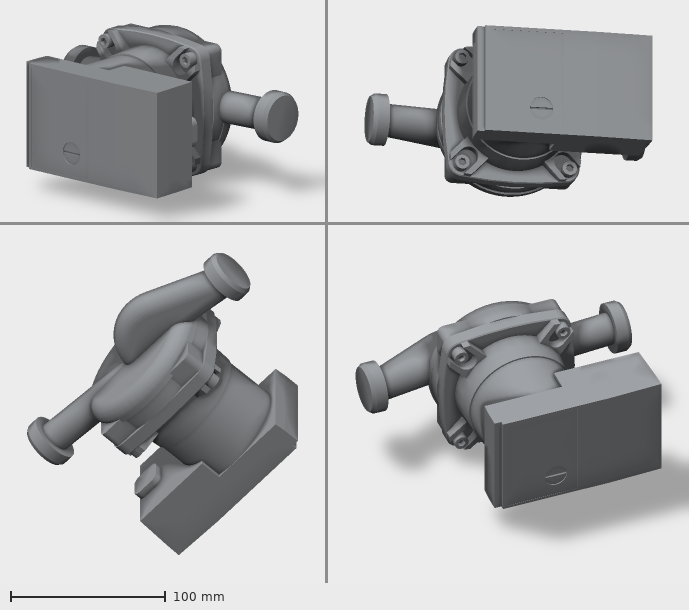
import cadquery as cq
import math


length = 180.0
collar_radius = 16.7
collar_length = 10.5
pipe_start_inset = 9.0
collar_chamfer_axial = 2.7
collar_chamfer_radial = 1.8
pipe_radius = 10.6
housing_back_y = -5.2
housing_front_y = -18.2
housing_block_half = 41.4
housing_corner_radius = 4.7
housing_radius = 46.6
volute_radius = 47.0
volute_center_z = -0.9
volute_back_y = 5.0
volute_front_y = -8.1
volute_round = 9.7
inlet_bend_radius = 32.4
inlet_bend_x = -24.3
inlet_bend_y = 0.5
inlet_edge_round = 10.5
inlet_root_x = -36.0
inlet_root_y = 6.5
bend_root_y = -4.3
outlet_root_x = 9.0
outlet_root_y = -5.2

flange_front_y = -27.4
flange_half = 45.7
flange_corner_start = 35.3
flange_corner_drop = 2.7
flange_chamfer = 0.7
bearing_root_radius = 37.6
bearing_end_radius = 36.0
bearing_end_y = -47.9
pad_start_reach = 34.2
pad_outer_y = -32.4
pad_inner_y = -34.4
pad_inner_reach = 36.2
pad_outer_reach = 52.4
pad_limit = 61.2
pad_half_width = 9.9
screw_slot_radius = 6.3
screw_slot_reach = 44.3

screw_reach = 50.0
screw_count = 4
screw_head_radius = 4.7
screw_head_height = 6.5
screw_shank_radius = 2.7
screw_shank_length = 16.2
socket_width = 4.7
socket_depth = 3.2

can_radius = 35.0
can_end_y = -84.0

box_half_height = 35.3
box_left_x = -39.2
step_x = 14.5
step_y = -69.1
box_right_x = 73.5
box_right_split_x = 74.9
split_left_y = -92.0
split_middle_y = -94.3
split_right_y = -94.0
gland_size = 20.3
gland_height = 5.0
gland_corner = 5.0

cover_left_x = -39.8
cover_right_x = 75.2
cover_front_y = -106.0
cover_slope_x = 39.5
cover_right_y = -104.8
cover_ledge_x = -35.1
cover_ledge_y = -103.1
panel_left_x = -33.1
panel_right_x = 16.7
panel_bottom_z = -33.5
panel_top_z = 33.0
panel_depth = 0.2

knob_x = 1.8
knob_z = -18.4
knob_radius = 7.5
knob_sink = 0.9
knob_thickness = 3.6
knob_slot_width = 1.5
knob_slot_depth = 1.5


def xz_plane(y, x=0, z=0):
    """Sketch plane facing -Y, so positive extrusion goes toward the motor."""
    return cq.Workplane("XZ", origin=(x, y, z))


def turned(body, index):
    """Place a body made along +X onto one of the four diagonal corners."""
    return body.rotate((0, 0, 0), (0, 1, 0), 45 + 90 * index)


def corner_middle(start, edge, tilt):
    """Middle coordinate of a corner arc leaving (start, edge), tilted from the side's direction."""
    half_chord = (edge - start) / math.sqrt(2)
    radius = half_chord / math.sin(math.pi / 4 - tilt)
    center = start - radius * math.sin(tilt)
    return center + radius / math.sqrt(2)


def quarter_turn(point):
    return (-point[1], point[0])


def flange_outline(sketch):
    """Square of four bulged sides with round corners."""
    edge = flange_half - flange_corner_drop
    tilt = 2 * math.atan(flange_corner_drop / flange_corner_start)
    middle = corner_middle(flange_corner_start, edge, tilt)
    points = [(edge, flange_corner_start), (middle, middle), (flange_corner_start, edge), (0, flange_half)]
    sketch = sketch.moveTo(edge, -flange_corner_start).threePointArc((flange_half, 0), points[0])
    for side in range(4):
        following = [quarter_turn(point) for point in points]
        sketch = sketch.threePointArc(points[1], points[2])
        if side < 3:
            sketch = sketch.threePointArc(points[3], following[0])
        points = following
    return sketch.close()


def make_pipe(start_x, root_x, root_y):
    """Straight pipe from a collar on the pipe axis to its root at the volute."""
    start = cq.Vector(start_x, 0, 0)
    direction = cq.Vector(root_x - start_x, root_y, 0)
    return cq.Workplane(cq.Solid.makeCylinder(pipe_radius, direction.Length, start, direction))


def make_collar(side):
    """Pipe end collar with a chamfered outer rim; side is -1 or +1."""
    outer = side * length / 2
    inner = outer - side * collar_length
    rim = outer - side * collar_chamfer_axial
    profile = cq.Workplane("XY").polyline([
        (inner, 0),
        (inner, collar_radius),
        (rim, collar_radius),
        (outer, collar_radius - collar_chamfer_radial),
        (outer, 0),
    ]).close()
    return profile.revolve(360, (0, 0, 0), (1, 0, 0))


def make_inlet():
    """Inlet pipe that deepens into a round bend behind the housing."""
    pipe_start_x = pipe_start_inset - length / 2
    dx = pipe_start_x - inlet_bend_x
    dy = pipe_radius - inlet_bend_y
    angle = math.atan2(dy, dx) - math.acos(inlet_bend_radius / math.hypot(dx, dy))
    middle_angle = angle / 2

    def on_bend(at):
        x = inlet_bend_x + inlet_bend_radius * math.cos(at)
        y = inlet_bend_y + inlet_bend_radius * math.sin(at)
        return (x, y)

    profile = (
        cq.Workplane("XY", origin=(0, 0, -pipe_radius))
        .moveTo(pipe_start_x, 0)
        .lineTo(pipe_start_x, pipe_radius)
        .lineTo(*on_bend(angle))
        .threePointArc(on_bend(middle_angle), on_bend(0))
        .lineTo(on_bend(0)[0], bend_root_y)
        .lineTo(inlet_root_x, bend_root_y)
        .lineTo(inlet_root_x, inlet_root_y)
        .close()
    )
    bend = profile.extrude(2 * pipe_radius)
    back_region = cq.selectors.BoxSelector(
        (pipe_start_x + pipe_start_inset, pipe_radius, -length),
        (length, length, length),
    )
    back_edges = bend.faces("<Z or >Z").edges(back_region)
    pipe = make_pipe(pipe_start_x, inlet_root_x, inlet_root_y)
    return back_edges.fillet(inlet_edge_round).union(pipe)


def make_housing():
    depth = housing_back_y - housing_front_y
    block = (
        xz_plane(housing_back_y)
        .rect(2 * housing_block_half, 2 * housing_block_half)
        .extrude(depth)
        .edges("|Y")
        .fillet(housing_corner_radius)
    )
    drum = xz_plane(housing_back_y).circle(housing_radius).extrude(depth)
    volute = (
        xz_plane(volute_back_y, z=volute_center_z)
        .circle(volute_radius)
        .extrude(volute_back_y - volute_front_y)
        .faces(">Y")
        .edges()
        .fillet(volute_round)
    )
    outlet = make_pipe(length / 2 - pipe_start_inset, outlet_root_x, outlet_root_y)
    housing = block.union(drum).union(volute).union(make_inlet()).union(outlet)
    return housing.union(make_collar(-1)).union(make_collar(1))


def make_pad():
    """Raised corner pad along +X, sloping down outward, with an open screw slot."""
    slope = (pad_outer_y - pad_inner_y) / (pad_outer_reach - pad_inner_reach)
    limit_y = pad_inner_y + slope * (pad_limit - pad_inner_reach)
    start_y = pad_inner_y + slope * (pad_start_reach - pad_inner_reach)
    pad = (
        cq.Workplane("XY")
        .polyline([
            (pad_start_reach, flange_front_y),
            (pad_start_reach, start_y),
            (pad_limit, limit_y),
            (pad_limit, flange_front_y),
        ])
        .close()
        .extrude(pad_half_width, both=True)
    )
    slot_height = flange_front_y - start_y
    slot_end = xz_plane(flange_front_y, x=screw_slot_reach).circle(screw_slot_radius).extrude(slot_height)
    slot_length = pad_limit - screw_slot_reach
    slot_run = (
        xz_plane(flange_front_y, x=screw_slot_reach + slot_length / 2)
        .rect(slot_length, 2 * screw_slot_radius)
        .extrude(slot_height)
    )
    return pad.cut(slot_end).cut(slot_run)


def make_flange():
    plate = (
        flange_outline(xz_plane(housing_front_y))
        .extrude(housing_front_y - flange_front_y)
        .faces("<Y")
        .edges()
        .chamfer(flange_chamfer)
    )
    pad_bound = (
        flange_outline(xz_plane(housing_front_y))
        .offset2D(-flange_chamfer)
        .extrude(housing_front_y - bearing_end_y)
    )
    bearing = (
        xz_plane(flange_front_y)
        .circle(bearing_root_radius)
        .workplane(offset=flange_front_y - bearing_end_y)
        .circle(bearing_end_radius)
        .loft()
    )
    flange = plate.union(bearing)
    for index in range(screw_count):
        flange = flange.union(turned(make_pad(), index).intersect(pad_bound))
    return flange


def make_shank():
    """Screw shank, also the shape of its hole through flange and housing."""
    return xz_plane(flange_front_y, x=screw_reach).circle(screw_shank_radius).extrude(-screw_shank_length)


def make_screw():
    """Socket-head screw on the +X side."""
    head = xz_plane(flange_front_y, x=screw_reach).circle(screw_head_radius).extrude(screw_head_height)
    socket_diameter = socket_width / math.cos(math.pi / 6)
    socket = (
        xz_plane(flange_front_y - screw_head_height, x=screw_reach)
        .polygon(6, socket_diameter)
        .extrude(-socket_depth)
    )
    return head.cut(socket).union(make_shank())


def make_can():
    return xz_plane(bearing_end_y).circle(can_radius).extrude(bearing_end_y - can_end_y)


def split_arc(sketch):
    """Draw the curved joint of box and cover from its right end to its left end."""
    middle_x = (box_right_split_x + cover_left_x) / 2
    return sketch.threePointArc((middle_x, split_middle_y), (cover_left_x, split_left_y))


def make_box():
    """Box base with a step beside the can and a rounded cable gland on its back."""
    sketch = (
        cq.Workplane("XY")
        .moveTo(box_left_x, can_end_y)
        .lineTo(step_x, can_end_y)
        .lineTo(step_x, step_y)
        .lineTo(box_right_x, step_y)
        .lineTo(box_right_split_x, split_right_y)
    )
    base = split_arc(sketch).close().extrude(box_half_height, both=True)
    gland = (
        xz_plane(step_y, x=box_right_x - gland_size / 2)
        .rect(gland_size, gland_size)
        .extrude(-gland_height)
        .edges("|Y")
        .fillet(gland_corner)
    )
    return base.union(gland).cut(make_can())


def make_knob_disc(front_y, thickness):
    return xz_plane(front_y, x=knob_x, z=knob_z).circle(knob_radius).extrude(-thickness)


def make_cover():
    sketch = (
        cq.Workplane("XY")
        .moveTo(cover_left_x, split_left_y)
        .lineTo(cover_left_x, cover_ledge_y)
        .lineTo(cover_ledge_x, cover_ledge_y)
        .lineTo(cover_ledge_x, cover_front_y)
        .lineTo(cover_slope_x, cover_front_y)
        .lineTo(cover_right_x, cover_right_y)
        .lineTo(box_right_split_x, split_right_y)
    )
    cover = split_arc(sketch).close().extrude(box_half_height, both=True)
    panel = (
        xz_plane(cover_front_y, x=(panel_left_x + panel_right_x) / 2, z=(panel_bottom_z + panel_top_z) / 2)
        .rect(panel_right_x - panel_left_x, panel_top_z - panel_bottom_z)
        .extrude(-panel_depth)
    )
    recess = make_knob_disc(cover_front_y, knob_sink + knob_thickness)
    return cover.cut(panel).cut(recess)


def make_knob():
    slot = (
        xz_plane(cover_front_y + knob_sink, x=knob_x, z=knob_z)
        .rect(2 * knob_radius, knob_slot_width)
        .extrude(-knob_slot_depth)
    )
    return make_knob_disc(cover_front_y + knob_sink, knob_thickness).cut(slot)


housing = make_housing()
flange = make_flange()
screws = []
for index in range(screw_count):
    hole = turned(make_shank(), index)
    housing = housing.cut(hole)
    flange = flange.cut(hole)
    screws.append(turned(make_screw(), index))
can = make_can()
box = make_box()
cover = make_cover()
knob = make_knob()

result = cq.Compound.makeCompound([
    housing.val(),
    flange.val(),
    can.val(),
    box.val(),
    cover.val(),
    knob.val(),
    *[screw.val() for screw in screws],
])